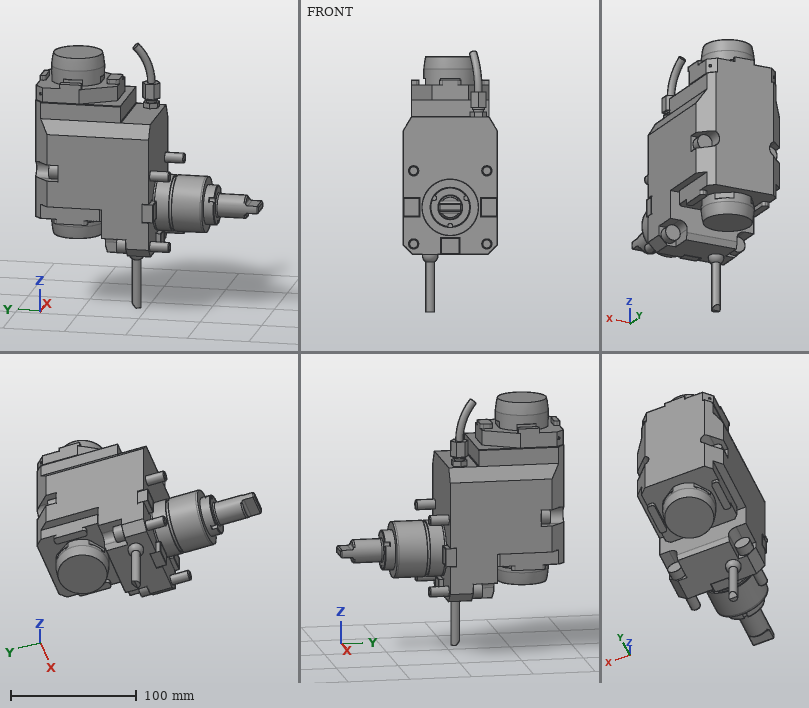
import cadquery as cq
import math


width = 75.0
half_width = width / 2
back_y = 94.1
floor_z = -half_width
shoulder_z = 72.0
shoulder_half_width = 31.0
shoulder_drop = 11.0
bottom_chamfer = 7.5
back_chamfer = 11.6
rear_floor_z = 1.2
front_block_depth = 38.2
back_bevel_depth = 1.7
back_bevel_height = 5.6

deck_front_y = 24.3
deck_top_z = 85.6
deck_edge_chamfer = 0.6
deck_lip = 0.52
flange_top_z = 97.5
flange_front_y = 30.1
flange_nose_half_width = 14.5
flange_shoulder_y = 58.0
flange_back_chamfer = 6.6
dimple_diameter = 2.0
dimple_depth = 1.0
dimple_y = 89.8
dimple_z = 91.9

lower_flange_z = -10.4
lower_flange_nose_chamfer = 3.1

cap_y = 65.0
cap_diameter = 42.4
cap_end_diameter = 39.0
cap_bulge_diameter = 41.4
cap_straight = 12.5
cap_height = 22.5
cap_flat_offset = 19.7
cap_flat_height = 5.0
lower_cap_height = 18.3
lower_cap_straight = 8.1
lower_cap_turn = 35
lug_width = 17.2
lug_height = 3.7
lug_inset = 24.7
lug_fillet = 2.3
lug_relief_radius = 25.1
front_lug_length = 10.0
back_lug_length = 4.4
lower_lug_width = 27.2

screw_offset = 29.0
pin_diameter = 8.1
pin_length = 15.5
pin_chamfer = 0.8
pocket_half_width = 6.6
head_diameter = 13.0
head_length = 8.0
upper_seat_y = 73.8
lower_seat_y = 18.7

key_width = 14.5
key_gap = 0.5
key_inner = 24.3
key_depth = 4.8
key_projection = 3.7
key_chamfer = 0.5

nose_diameter = 45.0
nose_end_diameter = 44.7
nose_groove_diameter = 42.4
nose_base = 1.5
groove_start = 13.0
groove_end = 15.4
nose_edge = 38.7
nose_end = 40.1
nut_diameter = 32.0
nut_end = 48.6
nut_chamfer = 0.6
collar_diameter = 19.7
collar_end = 49.9
shaft_diameter = 18.7
shaft_end = 83.3
shaft_rim_chamfer = 1.2
wrench_hole_diameter = 4.0
wrench_hole_circle = 14.8
wrench_hole_depth = 4.5
tang_start = 72.7
tang_thickness = 6.2
tang_root_fillet = 1.9
tang_end_chamfer = 1.0

pipe_x = -16.0
pipe_y = 14.1
pipe_diameter = 7.0
pipe_end_z = -83.3
pipe_cut = 3.7
ball_diameter = 12.5
ball_drop = 0.8

fitting_x = 22.5
fitting_y = 10.2
base_hex_flats = 11.5
base_hex_top = 76.0
fitting_neck_diameter = 8.1
fitting_neck_top = 78.0
fitting_ring_diameter = 9.8
fitting_hex_bottom = 79.4
fitting_hex_flats = 12.3
fitting_hex_top = 91.9
hose_diameter = 6.0
hose_top_z = 124.5
hose_bend_angle = 45
hose_heading = 109.5


def box(x0, x1, y0, y1, z0, z1):
    return cq.Workplane("XY").box(x1 - x0, y1 - y0, z1 - z0, centered=False).translate((x0, y0, z0))


def upright(outline, z0, z1):
    """Prism from plan points, between two heights."""
    return cq.Workplane("XY").workplane(offset=z0).polyline(outline).close().extrude(z1 - z0)


def post(x, y, diameter, z0, z1):
    return cq.Workplane("XY").workplane(offset=z0).center(x, y).circle(diameter / 2).extrude(z1 - z0)


def rod(x, z, diameter, y0, y1):
    """Cylinder along Y."""
    return cq.Workplane("XZ", origin=(x, y0, z)).circle(diameter / 2).extrude(y0 - y1)


def hex_post(flats, z0, z1, turn):
    across_corners = flats / math.cos(math.radians(30))
    prism = cq.Workplane("XY").polygon(6, across_corners).extrude(z1 - z0)
    return prism.rotate((0, 0, 0), (0, 0, 1), turn).translate((fitting_x, fitting_y, z0))


def mirrored(shape):
    """The shape together with its mirror image across the YZ plane."""
    return shape.union(shape.mirror("YZ"))


def back_plan(side, front_y, chamfer):
    """Plan outline with both back corners cut at 45 degrees."""
    return [
        (-side, front_y),
        (side, front_y),
        (side, back_y - chamfer),
        (side - chamfer, back_y),
        (chamfer - side, back_y),
        (-side, back_y - chamfer),
    ]


def make_housing():
    half_section = [
        (0, floor_z),
        (half_width - bottom_chamfer, floor_z),
        (half_width, floor_z + bottom_chamfer),
        (half_width, shoulder_z - shoulder_drop),
        (shoulder_half_width, shoulder_z),
        (0, shoulder_z),
    ]
    body = cq.Workplane("XZ").polyline(half_section).close().extrude(-back_y)
    body = mirrored(body)
    body = body.cut(box(-half_width, half_width, front_block_depth, back_y, floor_z, rear_floor_z))
    bevel = (
        cq.Workplane("YZ")
        .moveTo(front_block_depth, floor_z)
        .lineTo(front_block_depth - back_bevel_depth, floor_z)
        .lineTo(front_block_depth, floor_z + back_bevel_height)
        .close()
        .extrude(half_width, both=True)
    )
    body = body.cut(bevel)

    deck = box(-shoulder_half_width, shoulder_half_width, deck_front_y, back_y, shoulder_z, deck_top_z)
    deck = deck.edges("|Y and >Z").chamfer(deck_edge_chamfer)
    lip = box(
        -shoulder_half_width, shoulder_half_width,
        deck_front_y - deck_lip, deck_front_y, shoulder_z, shoulder_z + deck_lip,
    )
    body = body.union(deck).union(lip)
    return body.intersect(upright(back_plan(half_width, 0, back_chamfer), floor_z, deck_top_z))


def make_upper_flange():
    side = shoulder_half_width
    outline = [
        (-flange_nose_half_width, flange_front_y),
        (flange_nose_half_width, flange_front_y),
        (side, flange_shoulder_y),
    ]
    outline += back_plan(side, flange_shoulder_y, flange_back_chamfer)[2:]
    outline.append((-side, flange_shoulder_y))
    flange = upright(outline, deck_top_z, flange_top_z)
    dimple_x = side - flange_back_chamfer + back_y - dimple_y
    diagonal = cq.Plane(origin=(dimple_x, dimple_y, dimple_z), xDir=(0, 0, 1), normal=(1, 1, 0))
    dimple = cq.Workplane(diagonal).circle(dimple_diameter / 2).extrude(-dimple_depth)
    return flange.cut(mirrored(dimple))


def make_lower_flange():
    plan = back_plan(shoulder_half_width, front_block_depth, back_chamfer + shoulder_half_width - half_width)
    flange = upright(plan, lower_flange_z, rear_floor_z)
    return flange.edges("|Z and <Y").chamfer(lower_flange_nose_chamfer)


def make_cap(straight, height, turn):
    """Domed cap standing on Z = 0, with four flats around its foot."""
    outline = (
        cq.Workplane("XZ")
        .lineTo(cap_diameter / 2, 0)
        .lineTo(cap_diameter / 2, straight)
        .threePointArc(
            (cap_bulge_diameter / 2, (straight + height) / 2),
            (cap_end_diameter / 2, height),
        )
        .lineTo(0, height)
        .close()
    )
    cap = outline.revolve(360, (0, 0, 0), (0, 1, 0))
    flat = box(cap_flat_offset, cap_diameter, -cap_diameter, cap_diameter, 0, cap_flat_height)
    for quarter in range(4):
        cap = cap.cut(flat.rotate((0, 0, 0), (0, 0, 1), turn + 90 * quarter))
    return cap


def make_upper_lugs():
    top = flange_top_z + lug_height
    half = lug_width / 2
    front = box(-half, half, flange_front_y, flange_front_y + front_lug_length, flange_top_z, top)
    front = front.edges("|Z").fillet(lug_fillet)
    back = box(-half, half, back_y - back_lug_length, back_y, flange_top_z, top)
    back = back.edges("|Z and <Y").fillet(lug_fillet)
    side = box(lug_inset, shoulder_half_width, cap_y - half, cap_y + half, flange_top_z, top)
    side = side.edges("|Z and <X").fillet(lug_fillet)
    side = side.cut(post(0, cap_y, 2 * lug_relief_radius, flange_top_z, top))
    return front.union(back).union(mirrored(side))


def make_lower_lugs():
    half = lower_lug_width / 2
    lug = box(
        lug_inset, shoulder_half_width, cap_y - half, cap_y + half,
        lower_flange_z - lug_height, lower_flange_z,
    )
    return mirrored(lug.edges("|Z").fillet(lug_fillet))


def make_screw_pockets():
    """Bores for the screw heads, opened to the sides and, at the bottom, to the floor."""
    bore = 2 * pocket_half_width
    upper = rod(screw_offset, screw_offset, bore, upper_seat_y, back_y).union(
        box(
            screw_offset, half_width, upper_seat_y, back_y,
            screw_offset - pocket_half_width, screw_offset + pocket_half_width,
        )
    )
    lower = rod(screw_offset, -screw_offset, bore, lower_seat_y, front_block_depth)
    lower = lower.union(
        box(
            screw_offset, half_width, lower_seat_y, front_block_depth,
            floor_z, pocket_half_width - screw_offset,
        )
    )
    lower = lower.union(
        box(
            screw_offset - pocket_half_width, half_width, lower_seat_y, front_block_depth,
            floor_z, -screw_offset,
        )
    )
    return mirrored(upper.union(lower))


def make_screws():
    screws = cq.Workplane("XY")
    for z, seat in ((screw_offset, upper_seat_y), (-screw_offset, lower_seat_y)):
        pin = rod(screw_offset, z, pin_diameter, -pin_length, seat).faces("<Y").chamfer(pin_chamfer)
        head = rod(screw_offset, z, head_diameter, seat, seat + head_length)
        screws = screws.union(mirrored(pin.union(head)))
    return screws


def fit_keys(body):
    """Seat a key, with a narrow gap around it, at both sides and at the bottom."""
    half = key_width / 2
    slot = box(
        key_inner - key_gap, half_width, 0, key_depth + key_gap,
        -half - key_gap, half + key_gap,
    )
    key = box(key_inner, half_width - key_gap, -key_projection, key_depth + key_gap, -half, half)
    key = key.faces("<Y").edges().chamfer(key_chamfer)
    for turn in (0, 90, 180):
        body = body.cut(slot.rotate((0, 0, 0), (0, 1, 0), turn))
        body = body.union(key.rotate((0, 0, 0), (0, 1, 0), turn))
    return body


def make_spindle():
    profile = [
        (0, 0),
        (nose_end_diameter / 2, 0),
        (nose_end_diameter / 2, -nose_base),
        (nose_diameter / 2, -nose_base),
        (nose_diameter / 2, -groove_start),
        (nose_groove_diameter / 2, -groove_start),
        (nose_groove_diameter / 2, -groove_end),
        (nose_diameter / 2, -groove_end),
        (nose_diameter / 2, -nose_edge),
        (nose_end_diameter / 2, -nose_end),
        (nut_diameter / 2, -nose_end),
        (nut_diameter / 2, nut_chamfer - nut_end),
        (nut_diameter / 2 - nut_chamfer, -nut_end),
        (collar_diameter / 2, -nut_end),
        (shaft_diameter / 2, -collar_end),
        (shaft_diameter / 2, -shaft_end),
        (0, -shaft_end),
    ]
    spindle = cq.Workplane("XY").polyline(profile).close().revolve(360, (0, 0, 0), (0, 1, 0))
    for angle in (30, 150, 270):
        x = wrench_hole_circle * math.cos(math.radians(angle))
        z = wrench_hole_circle * math.sin(math.radians(angle))
        spindle = spindle.cut(rod(x, z, wrench_hole_diameter, -nut_end, wrench_hole_depth - nut_end))
    for side in (0, 180):
        spindle = spindle.cut(make_tang_relief().rotate((0, 0, 0), (0, 1, 0), side))
    return spindle.faces("<Y").edges().chamfer(tang_end_chamfer)


def make_tang_relief():
    """Material removed above the driving tang: rounded at the root, bevelled at the shaft rim."""
    radius = shaft_diameter / 2
    root_top = tang_thickness / 2 + tang_root_fillet
    relief = box(-radius, radius, -shaft_end, -tang_start, tang_thickness / 2, radius)
    relief = relief.edges("|X and >Y and <Z").fillet(tang_root_fillet)
    rim = (
        cq.Workplane("XY")
        .moveTo(radius, shaft_rim_chamfer - tang_start)
        .lineTo(radius, -tang_start)
        .lineTo(radius - shaft_rim_chamfer, -tang_start)
        .close()
        .revolve(360, (0, 0, 0), (0, 1, 0))
    )
    above_root = box(-radius, radius, -shaft_end, 0, root_top, radius)
    return relief.union(rim.intersect(above_root))


def make_pipe():
    ball = cq.Workplane("XY").sphere(ball_diameter / 2).translate((pipe_x, pipe_y, floor_z - ball_drop))
    pipe = post(pipe_x, pipe_y, pipe_diameter, pipe_end_z, floor_z)
    outer_y = pipe_y + pipe_diameter / 2
    corner = (
        cq.Workplane("YZ", origin=(pipe_x, 0, 0))
        .moveTo(outer_y, pipe_end_z)
        .lineTo(outer_y, pipe_end_z + pipe_cut)
        .lineTo(outer_y - pipe_cut, pipe_end_z)
        .close()
        .extrude(pipe_diameter, both=True)
    )
    return ball.union(pipe.cut(corner))


def make_hose_fitting():
    fitting = hex_post(base_hex_flats, shoulder_z, base_hex_top, 0)
    fitting = fitting.union(
        post(fitting_x, fitting_y, fitting_neck_diameter, base_hex_top, fitting_neck_top)
    )
    fitting = fitting.union(
        post(fitting_x, fitting_y, fitting_ring_diameter, fitting_neck_top, fitting_hex_bottom)
    )
    fitting = fitting.union(hex_post(fitting_hex_flats, fitting_hex_bottom, fitting_hex_top, 30))
    angle = math.radians(hose_bend_angle)
    end_rim_rise = hose_diameter / 2 * math.cos(angle)
    bend_radius = (hose_top_z - fitting_hex_top - end_rim_rise) / math.sin(angle)
    hose = (
        cq.Workplane("XY")
        .circle(hose_diameter / 2)
        .revolve(hose_bend_angle, (bend_radius, 0, 0), (bend_radius, 1, 0))
        .rotate((0, 0, 0), (0, 0, 1), hose_heading)
        .translate((fitting_x, fitting_y, fitting_hex_top))
    )
    return fitting.union(hose)


upper_cap = make_cap(cap_straight, cap_height, 0).translate((0, cap_y, flange_top_z))
lower_cap = make_cap(lower_cap_straight, lower_cap_height, lower_cap_turn)
lower_cap = lower_cap.rotate((0, 0, 0), (1, 0, 0), 180).translate((0, cap_y, lower_flange_z))

result = make_housing().union(make_upper_flange()).union(make_lower_flange())
result = result.union(upper_cap).union(lower_cap)
result = result.union(make_upper_lugs()).union(make_lower_lugs())
result = result.cut(make_screw_pockets()).union(make_screws())
result = fit_keys(result)
result = result.union(make_spindle()).union(make_pipe()).union(make_hose_fitting())